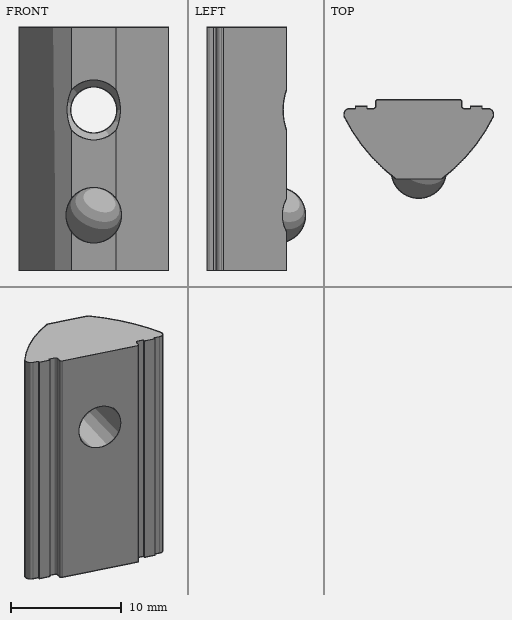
import cadquery as cq

length = 22.0
back_y = 7.2
front_half_width = 2.02

boss_half_width = 3.9
boss_height = 0.81
boss_radius = 0.2
shoulder_y = back_y - boss_height

ridge_inner_x = 4.66
ridge_outer_x = 5.72
ridge_height = 0.22

half_width = 6.75
corner_radius = 0.5
flank_start_y = 5.68
flank_radius = 15.62

hole_radius = 2.07
countersink_radius = 2.7
countersink_depth = countersink_radius - hole_radius
hole_z = 14.52

ball_radius = 2.5
ball_projection = 1.74
ball_y = ball_radius - ball_projection
ball_z = 5.02


def make_profile_prism():
    """Nut section extruded along Z, with rounded boss and shoulder corners."""
    boss_round_start = (boss_half_width - boss_radius, back_y)
    boss_round_end = (boss_half_width, back_y - boss_radius)
    root_round_start = (boss_half_width, shoulder_y + boss_radius)
    root_round_end = (boss_half_width + boss_radius, shoulder_y)
    corner_round_start = (half_width - corner_radius, shoulder_y)
    corner_round_end = (half_width, shoulder_y - corner_radius)
    half_prism = (
        cq.Workplane("XY")
        .moveTo(0, back_y)
        .lineTo(*boss_round_start)
        .radiusArc(boss_round_end, boss_radius)
        .lineTo(*root_round_start)
        .radiusArc(root_round_end, -boss_radius)
        .lineTo(ridge_inner_x, shoulder_y)
        .lineTo(ridge_inner_x, shoulder_y + ridge_height)
        .lineTo(ridge_outer_x, shoulder_y + ridge_height)
        .lineTo(ridge_outer_x, shoulder_y)
        .lineTo(*corner_round_start)
        .radiusArc(corner_round_end, corner_radius)
        .lineTo(half_width, flank_start_y)
        .radiusArc((front_half_width, 0), flank_radius)
        .lineTo(0, 0)
        .close()
        .extrude(length)
    )
    return half_prism.union(half_prism.mirror("YZ")).clean()


def make_hole_cutter():
    """Straight bore through the nut plus the front countersink."""
    start = cq.Vector(0, 0, hole_z)
    into_nut = cq.Vector(0, 1, 0)
    bore = cq.Solid.makeCylinder(hole_radius, back_y, start, into_nut)
    countersink = cq.Solid.makeCone(
        countersink_radius, hole_radius, countersink_depth, start, into_nut
    )
    return bore.fuse(countersink)


def make_ball():
    return cq.Workplane("XY").sphere(ball_radius).translate((0, ball_y, ball_z))


def make_ball_seat_cutter():
    """Round pocket with a spherical floor that matches the ball."""
    entry = cq.Solid.makeCylinder(
        ball_radius, ball_y, cq.Vector(0, 0, ball_z), cq.Vector(0, 1, 0)
    )
    return make_ball().union(cq.Workplane(entry))


def make_nut():
    return make_profile_prism().cut(cq.Workplane(make_hole_cutter())).cut(make_ball_seat_cutter())


nut = make_nut()
ball = make_ball()

result = cq.Compound.makeCompound([nut.solids().val(), ball.val()])